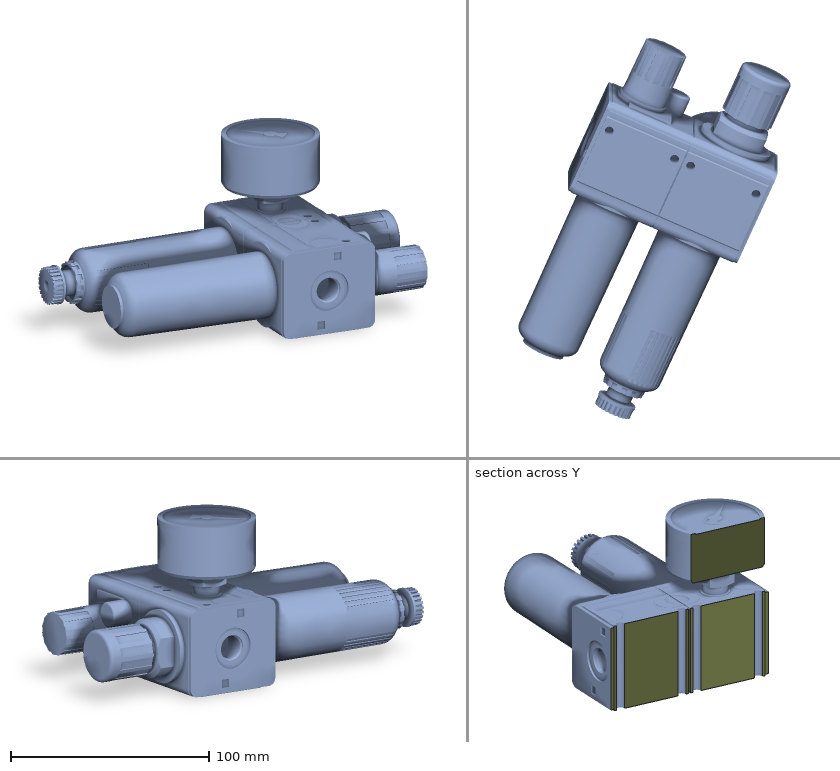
import cadquery as cq
import math

UNIT_PITCH = 45.0
JOINT_THICKNESS = 0.8
END_PLATE_THICKNESS = 2.0
BLOCK_WIDTH = UNIT_PITCH - JOINT_THICKNESS
REGULATOR_X = -UNIT_PITCH / 2
LUBRICATOR_X = UNIT_PITCH / 2
END_PLATE_X = UNIT_PITCH - JOINT_THICKNESS / 2

FACE_Y = 26.0
CORNER_RADIUS = 3.8
BAND_HALF_DEPTH = 18.0
BAND_Z = 23.2
SHOULDER_Z = 22.7
STEP_SLOPE = 0.5
REAR_STEP_Y = FACE_Y - CORNER_RADIUS
REAR_STEP_DROP = 0.2
COLLAR_RADIUS = 21.9

BOLT_DIAMETER = 4.5
BOLT_OFFSET_X = 18.0
BOLT_Y = 12.0
PAD_RADIUS = 7.5
PAD_HEIGHT = 0.2
JOINT_SPOT_DIAMETER = 12.5
ENGRAVING = 0.2
LABEL_WIDTH = 43.0
LABEL_FRONT = -17.3
LABEL_REAR = -8.6

PORT_DIAMETER = 13.2
PORT_CORE_DIAMETER = 12.0
PORT_DEPTH = 11.5
PLATE_HALF_DEPTH = 25.5
PLATE_HALF_HEIGHT = 22.5
PORT_RECESS_DIAMETER = 21.3
PLATE_RECESS_DEPTH = 1.2
KEY_SIZE = 4.5
KEY_Y = 4.6
KEY_Z = 17.7

BOWL_TOP_RADIUS = 17.0
BOWL_LOW_RADIUS = 16.5
BOWL_SHOULDER_Y = -102.5
BOWL_FILLET = 5.8
BOWL_RIM_RADIUS = 13.0
BOWL_BOTTOM_Y = -108.9
FOOT_RADIUS = 22.0 / 2
LUBRICATOR_FOOT_Y = -110.4

GRIP_GROUPS = (-150, -30, 90)
GRIP_GROOVES = 7
GRIP_PITCH = 10
GRIP_WIDTH = 2.0
GRIP_FLOOR = 16.1
GRIP_TOP_Y = -75.0

DRAIN_COLLAR_Y = -112.9
WINDOW_COUNT = 12
WINDOW_WIDTH = 2.9
WINDOW_HEIGHT = 3.3
WINDOW_FLOOR = 10.0
DRAIN_COLLAR_STEP_Y = -111.0
DRAIN_COLLAR_LOW_RADIUS = 10.8
DRAIN_COLLAR_BORE_RADIUS = 9.0
DRAIN_COLLAR_BORE_DEPTH = 2.0
DRAIN_NECK_RADIUS = 13.2 / 2
DRAIN_NECK_Y = -118.3
DRAIN_NECK_CHAMFER = 0.4
DRAIN_WAIST_RADIUS = 9.8 / 2
DRAIN_KNOB_TOP_Y = -119.0
DRAIN_LIP_RADIUS = 10.0
DRAIN_LIP_Y = -120.2
DRAIN_KNOB_RADIUS = 9.6
DRAIN_KNOB_END_Y = -125.2
KNURL_COUNT = 24
KNURL_WIDTH = 1.2
KNURL_FLOOR = 8.5
DRAIN_BORE_RADIUS = 4.0 / 2
DRAIN_MOUTH_RADIUS = 5.5 / 2
DRAIN_BORE_DEPTH = 5.8

FLANGE_RADIUS = 18.8
FLANGE_Y = 28.6
BONNET_RADIUS = 15.2
BONNET_FLAT_WIDTH = 26.1
BONNET_CHAMFER = 2.0
BONNET_Y = 38.4
BONNET_NECK_RADIUS = 21.3 / 2
KNOB_RADIUS = 13.5
KNOB_START_Y = 41.0
KNOB_END_Y = 66.8
KNOB_FILLET = 2.0
KNOB_FLUTES = 12
FLUTE_WIDTH = 4.8
FLUTE_FLOOR = 12.7
FLUTE_END_Y = 60.7

DOSING_X = 29.4
DOSING_BASE_RADIUS = 13.0
DOSING_BASE_Y = 27.5
DOSING_RING_RADIUS = 12.5
DOSING_RING_Y = 29.4
DOSING_LOW_RADIUS = 11.5
DOSING_END_RADIUS = 11.1
DOSING_END_Y = 57.8
DOSING_FLUTES = 15
DOSING_FLUTE_WIDTH = 2.7
DOSING_FLUTE_FLOOR = 10.8
DOSING_FLUTE_Y = 40.9
DOSING_FLUTE_START = -5.5
PLUG_X = 13.0
PLUG_Z = 10.2
PLUG_RADIUS = 6.5
PLUG_Y = 36.9
PLUG_FILLET = 1.2
COVER_END_X = 36.0
COVER_HALF_HEIGHT = 17.3

GAUGE_RADIUS = 25.0
GAUGE_TOP_Z = 63.5
BEZEL_BOTTOM_Z = 59.0
CASE_RADIUS = GAUGE_RADIUS - 0.04
CASE_BOTTOM_Z = 36.5
CASE_CHAMFER_WIDTH = 1.2
CASE_CHAMFER_HEIGHT = 1.7
BEZEL_BORE_RADIUS = 22.5
DIAL_Z = GAUGE_TOP_Z - 0.5
SHANK_WIDTH = 14.4
SHANK_BOTTOM_Z = 28.2
SHANK_CORNER_RISE = 1.0
SPIGOT_RADIUS = 13.2 / 2
SPIGOT_LOW_RADIUS = 12.9 / 2
SPIGOT_STEP_Z = 26.0
SEAT_RADIUS = 15.2 / 2
SEAT_HEIGHT = 0.5

NEEDLE_HEIGHT = 0.4
NEEDLE_ANGLE = -135
HUB_RADIUS = 3.6
NEEDLE_LENGTH = 20.4
BLADE_END = 15.4
BLADE_ROOT_HALF = 1.7
BLADE_END_HALF = 0.4
TAIL_LENGTH = 8.0
TAIL_END_HALF = 3.6
TAIL_ROOT = 3.0

GROOVE_CUTTER_HEIGHT = 2.0


def turned(points):
    """Solid of revolution about the Y axis from (radius, y) points."""
    return cq.Workplane("XY").polyline(points).close().revolve(360, (0, 0), (0, 1))


def turned_upright(points):
    """Solid of revolution about the Z axis from (radius, z) points."""
    return turned(points).rotate((0, 0, 0), (1, 0, 0), 90)


def rod(radius, y_start, y_end):
    """Cylinder along the Y axis."""
    return turned([(0, y_start), (radius, y_start), (radius, y_end), (0, y_end)])


def box_between(x_range, y_range, z_range):
    size = [b - a for a, b in (x_range, y_range, z_range)]
    return cq.Workplane("XY").box(*size, centered=False).translate((x_range[0], y_range[0], z_range[0]))


def cut_grooves(body, angles, width, floor, y_range):
    """Cut lengthwise grooves at the given angles about Y, measured from +Z towards +X."""
    cutter = box_between((-width / 2, width / 2), y_range, (floor, floor + GROOVE_CUTTER_HEIGHT))
    for angle in angles:
        body = body.cut(cutter.rotate((0, 0, 0), (0, 1, 0), angle))
    return body


def even_angles(count, start=0.0):
    return [start + 360 / count * i for i in range(count)]


def block():
    """Block of one unit: stepped, round-cornered section with its top details, centred on X = 0."""
    corner_y = FACE_Y - CORNER_RADIUS
    side_z = SHOULDER_Z - CORNER_RADIUS
    arc_offset = CORNER_RADIUS * (1 - math.sqrt(0.5))
    band_foot = BAND_HALF_DEPTH + STEP_SLOPE
    rear_z = SHOULDER_Z - REAR_STEP_DROP
    upper_half = (
        cq.Workplane("YZ")
        .moveTo(-FACE_Y, 0)
        .lineTo(-FACE_Y, side_z)
        .threePointArc((-FACE_Y + arc_offset, SHOULDER_Z - arc_offset), (-corner_y, SHOULDER_Z))
        .lineTo(-band_foot, SHOULDER_Z)
        .lineTo(-BAND_HALF_DEPTH, BAND_Z)
        .lineTo(BAND_HALF_DEPTH, BAND_Z)
        .lineTo(band_foot, SHOULDER_Z)
        .lineTo(REAR_STEP_Y - STEP_SLOPE, SHOULDER_Z)
        .lineTo(REAR_STEP_Y, rear_z)
        .threePointArc((FACE_Y - arc_offset, rear_z - arc_offset), (FACE_Y, rear_z - CORNER_RADIUS))
        .lineTo(FACE_Y, 0)
        .close()
        .extrude(BLOCK_WIDTH / 2, both=True)
    )
    body = upper_half.union(upper_half.mirror("XY"))
    body = body.union(rod(COLLAR_RADIUS, -FACE_Y, -corner_y))

    edge_x = BLOCK_WIDTH / 2
    for side in (-1, 1):
        inner_x = side * BOLT_OFFSET_X
        pad = cq.Workplane("XY").center(inner_x, 0).circle(PAD_RADIUS).extrude(PAD_HEIGHT)
        strip = box_between(sorted((inner_x, side * edge_x)), (-PAD_RADIUS, PAD_RADIUS), (0, PAD_HEIGHT))
        outside = box_between(sorted((side * edge_x, side * 2 * edge_x)), (-FACE_Y, FACE_Y), (0, BAND_Z))
        body = body.union(pad.union(strip).cut(outside).translate((0, 0, BAND_Z)))

    label = box_between(
        (-LABEL_WIDTH / 2, LABEL_WIDTH / 2), (LABEL_FRONT, LABEL_REAR), (BAND_Z - ENGRAVING, BAND_Z)
    )
    bolt_holes = (
        cq.Workplane("XY")
        .pushPoints([(-BOLT_OFFSET_X, BOLT_Y), (BOLT_OFFSET_X, BOLT_Y)])
        .circle(BOLT_DIAMETER / 2)
        .extrude(2 * BAND_Z, both=True)
    )
    return body.cut(label).cut(bolt_holes)


def cut_joint_spot(body):
    """Shallow round mark on the top, centred on the joint and shared by both blocks."""
    spot = cq.Workplane("XY").circle(JOINT_SPOT_DIAMETER / 2).extrude(PAD_HEIGHT + ENGRAVING)
    return body.cut(spot.translate((0, 0, BAND_Z + PAD_HEIGHT - ENGRAVING)))


def cut_port(body, side):
    """Port with a tapered mouth in the outer side of a block; side is -1 or +1."""
    mouth = (PORT_DIAMETER - PORT_CORE_DIAMETER) / 2
    cutter = turned(
        [
            (0, 0),
            (PORT_DIAMETER / 2, 0),
            (PORT_CORE_DIAMETER / 2, mouth),
            (PORT_CORE_DIAMETER / 2, PORT_DEPTH),
            (0, PORT_DEPTH),
        ]
    ).rotate((0, 0, 0), (0, 0, 1), 90 * side)
    return body.cut(cutter.translate((side * END_PLATE_X, 0, 0)))


def bowl(foot_y):
    """Tapered bowl with a rounded end and a round foot."""
    centre_r = BOWL_LOW_RADIUS - BOWL_FILLET
    end_angle = math.acos((BOWL_RIM_RADIUS - centre_r) / BOWL_FILLET)

    def on_fillet(angle):
        return (centre_r + BOWL_FILLET * math.cos(angle), BOWL_SHOULDER_Y - BOWL_FILLET * math.sin(angle))

    return (
        cq.Workplane("XY")
        .moveTo(0, -FACE_Y)
        .lineTo(BOWL_TOP_RADIUS, -FACE_Y)
        .lineTo(BOWL_LOW_RADIUS, BOWL_SHOULDER_Y)
        .threePointArc(on_fillet(end_angle / 2), on_fillet(end_angle))
        .lineTo(FOOT_RADIUS, BOWL_BOTTOM_Y)
        .lineTo(FOOT_RADIUS, foot_y)
        .lineTo(0, foot_y)
        .close()
        .revolve(360, (0, 0), (0, 1))
    )


def regulator_bowl():
    """Bowl with three groups of grip grooves and a windowed, bored drain collar."""
    collar_end = rod(DRAIN_COLLAR_LOW_RADIUS, DRAIN_COLLAR_Y, DRAIN_COLLAR_STEP_Y)
    collar_bore = rod(DRAIN_COLLAR_BORE_RADIUS, DRAIN_COLLAR_Y, DRAIN_COLLAR_Y + DRAIN_COLLAR_BORE_DEPTH)
    body = bowl(DRAIN_COLLAR_STEP_Y).union(collar_end).cut(collar_bore)
    for group in GRIP_GROUPS:
        angles = [group + GRIP_PITCH * (i - (GRIP_GROOVES - 1) / 2) for i in range(GRIP_GROOVES)]
        body = cut_grooves(body, angles, GRIP_WIDTH, GRIP_FLOOR, (BOWL_BOTTOM_Y, GRIP_TOP_Y))
    window_range = (DRAIN_COLLAR_Y, DRAIN_COLLAR_Y + WINDOW_HEIGHT)
    return cut_grooves(body, even_angles(WINDOW_COUNT), WINDOW_WIDTH, WINDOW_FLOOR, window_range)


def drain():
    """Drain neck rising from the collar bore, with a knurled knob and a countersunk bore in its end."""
    neck_top_y = DRAIN_COLLAR_Y + DRAIN_COLLAR_BORE_DEPTH
    body = turned(
        [
            (0, neck_top_y),
            (DRAIN_NECK_RADIUS, neck_top_y),
            (DRAIN_NECK_RADIUS, DRAIN_NECK_Y + DRAIN_NECK_CHAMFER),
            (DRAIN_NECK_RADIUS - DRAIN_NECK_CHAMFER, DRAIN_NECK_Y),
            (DRAIN_WAIST_RADIUS, DRAIN_NECK_Y),
            (DRAIN_WAIST_RADIUS, DRAIN_KNOB_TOP_Y),
            (DRAIN_LIP_RADIUS, DRAIN_KNOB_TOP_Y),
            (DRAIN_LIP_RADIUS, DRAIN_LIP_Y),
            (DRAIN_KNOB_RADIUS, DRAIN_LIP_Y),
            (DRAIN_KNOB_RADIUS, DRAIN_KNOB_END_Y),
            (0, DRAIN_KNOB_END_Y),
        ]
    )
    knurl_range = (DRAIN_KNOB_END_Y, DRAIN_LIP_Y)
    body = cut_grooves(body, even_angles(KNURL_COUNT), KNURL_WIDTH, KNURL_FLOOR, knurl_range)
    countersink = DRAIN_MOUTH_RADIUS - DRAIN_BORE_RADIUS
    bore = turned(
        [
            (0, DRAIN_KNOB_END_Y),
            (DRAIN_MOUTH_RADIUS, DRAIN_KNOB_END_Y),
            (DRAIN_BORE_RADIUS, DRAIN_KNOB_END_Y + countersink),
            (DRAIN_BORE_RADIUS, DRAIN_KNOB_END_Y + DRAIN_BORE_DEPTH),
            (0, DRAIN_KNOB_END_Y + DRAIN_BORE_DEPTH),
        ]
    )
    return body.cut(bore)


def bonnet():
    """Flange, bonnet with two wrench flats and neck behind the regulator block."""
    barrel = turned(
        [
            (0, FLANGE_Y),
            (BONNET_RADIUS, FLANGE_Y),
            (BONNET_RADIUS, BONNET_Y - BONNET_CHAMFER),
            (BONNET_FLAT_WIDTH / 2, BONNET_Y),
            (0, BONNET_Y),
        ]
    )
    between_flats = box_between(
        (-BONNET_FLAT_WIDTH / 2, BONNET_FLAT_WIDTH / 2),
        (FLANGE_Y, BONNET_Y),
        (-BONNET_RADIUS, BONNET_RADIUS),
    )
    flange = rod(FLANGE_RADIUS, FACE_Y, FLANGE_Y)
    neck = rod(BONNET_NECK_RADIUS, BONNET_Y, KNOB_START_Y)
    return flange.union(barrel.intersect(between_flats)).union(neck)


def adjusting_knob():
    body = rod(KNOB_RADIUS, KNOB_START_Y, KNOB_END_Y).faces(">Y").edges().fillet(KNOB_FILLET)
    angles = even_angles(KNOB_FLUTES, 180 / KNOB_FLUTES)
    return cut_grooves(body, angles, FLUTE_WIDTH, FLUTE_FLOOR, (KNOB_START_Y, FLUTE_END_Y))


def dosing_knob():
    body = turned(
        [
            (0, FACE_Y),
            (DOSING_BASE_RADIUS, FACE_Y),
            (DOSING_BASE_RADIUS, DOSING_BASE_Y),
            (DOSING_RING_RADIUS, DOSING_BASE_Y),
            (DOSING_RING_RADIUS, DOSING_RING_Y),
            (DOSING_LOW_RADIUS, DOSING_RING_Y),
            (DOSING_END_RADIUS, DOSING_END_Y),
            (0, DOSING_END_Y),
        ]
    )
    angles = even_angles(DOSING_FLUTES, DOSING_FLUTE_START)
    groove_range = (DOSING_FLUTE_Y, DOSING_END_Y)
    return cut_grooves(body, angles, DOSING_FLUTE_WIDTH, DOSING_FLUTE_FLOOR, groove_range)


def make_regulator():
    on_axis = block().union(regulator_bowl()).union(drain()).union(bonnet()).union(adjusting_knob())
    return cut_port(cut_joint_spot(on_axis.translate((REGULATOR_X, 0, 0))), -1)


def make_lubricator():
    on_axis = block().union(bowl(LUBRICATOR_FOOT_Y)).translate((LUBRICATOR_X, 0, 0))
    cover = box_between(
        (PLUG_X, COVER_END_X), (FACE_Y, DOSING_BASE_Y), (-COVER_HALF_HEIGHT, COVER_HALF_HEIGHT)
    )
    plug = rod(PLUG_RADIUS, FACE_Y, PLUG_Y).faces(">Y").edges().fillet(PLUG_FILLET)
    body = (
        on_axis.union(cover)
        .union(plug.translate((PLUG_X, 0, PLUG_Z)))
        .union(dosing_knob().translate((DOSING_X, 0, 0)))
    )
    return cut_port(cut_joint_spot(body), 1)


def plate(thickness):
    """Flat round-cornered plate against the side of a block, starting at X = 0."""
    return (
        cq.Workplane("YZ")
        .rect(2 * PLATE_HALF_DEPTH, 2 * PLATE_HALF_HEIGHT)
        .extrude(thickness)
        .edges("|X")
        .fillet(CORNER_RADIUS)
    )


def make_joint_plate():
    return plate(JOINT_THICKNESS).translate((-JOINT_THICKNESS / 2, 0, 0))


def make_end_plate(side):
    """Outer plate with port opening and two key recesses; side -1 is built, +1 is turned about Z."""
    port = cq.Workplane("YZ").circle(PORT_DIAMETER / 2).extrude(END_PLATE_THICKNESS)
    recesses = (
        cq.Workplane("YZ")
        .circle(PORT_RECESS_DIAMETER / 2)
        .pushPoints([(-KEY_Y, KEY_Z), (KEY_Y, -KEY_Z)])
        .rect(KEY_SIZE, KEY_SIZE)
        .extrude(PLATE_RECESS_DEPTH)
    )
    body = plate(END_PLATE_THICKNESS).cut(port).cut(recesses)
    body = body.translate((-END_PLATE_X - END_PLATE_THICKNESS, 0, 0))
    if side > 0:
        body = body.rotate((0, 0, 0), (0, 0, 1), 180)
    return body


def needle():
    """Needle on the Z = 0 plane with its hub at the origin."""
    hub = cq.Workplane("XY").circle(HUB_RADIUS).extrude(NEEDLE_HEIGHT)
    pointer = (
        cq.Workplane("XY")
        .polyline(
            [
                (0, BLADE_ROOT_HALF),
                (BLADE_END, BLADE_END_HALF),
                (NEEDLE_LENGTH, 0),
                (BLADE_END, -BLADE_END_HALF),
                (0, -BLADE_ROOT_HALF),
                (-TAIL_ROOT, -BLADE_ROOT_HALF),
                (-TAIL_LENGTH, -TAIL_END_HALF),
                (-TAIL_LENGTH, TAIL_END_HALF),
                (-TAIL_ROOT, BLADE_ROOT_HALF),
            ]
        )
        .close()
        .extrude(NEEDLE_HEIGHT)
    )
    return hub.union(pointer).rotate((0, 0, 0), (0, 0, 1), NEEDLE_ANGLE)


def gauge_case():
    """Case, bezel and sunk dial, turned about Z."""
    return turned_upright(
        [
            (0, CASE_BOTTOM_Z),
            (CASE_RADIUS - CASE_CHAMFER_WIDTH, CASE_BOTTOM_Z),
            (CASE_RADIUS, CASE_BOTTOM_Z + CASE_CHAMFER_HEIGHT),
            (CASE_RADIUS, BEZEL_BOTTOM_Z),
            (GAUGE_RADIUS, BEZEL_BOTTOM_Z),
            (GAUGE_RADIUS, GAUGE_TOP_Z),
            (BEZEL_BORE_RADIUS, GAUGE_TOP_Z),
            (BEZEL_BORE_RADIUS, DIAL_Z),
            (0, DIAL_Z),
        ]
    )


def gauge_shank():
    """Square shank with its lower corners turned down to the inscribed circle."""
    square = (
        cq.Workplane("XY")
        .workplane(offset=SHANK_BOTTOM_Z)
        .rect(SHANK_WIDTH, SHANK_WIDTH)
        .extrude(CASE_BOTTOM_Z - SHANK_BOTTOM_Z)
    )
    corner_radius = SHANK_WIDTH / math.sqrt(2)
    turned_envelope = turned_upright(
        [
            (0, SHANK_BOTTOM_Z),
            (SHANK_WIDTH / 2, SHANK_BOTTOM_Z),
            (corner_radius, SHANK_BOTTOM_Z + SHANK_CORNER_RISE),
            (corner_radius, CASE_BOTTOM_Z),
            (0, CASE_BOTTOM_Z),
        ]
    )
    return square.intersect(turned_envelope)


def make_gauge():
    """Round gauge on a square shank and a spigot seated on the block, with its axis along Z."""
    spigot = turned_upright(
        [
            (0, BAND_Z),
            (SEAT_RADIUS, BAND_Z),
            (SEAT_RADIUS, BAND_Z + SEAT_HEIGHT),
            (SPIGOT_LOW_RADIUS, BAND_Z + SEAT_HEIGHT),
            (SPIGOT_LOW_RADIUS, SPIGOT_STEP_Z),
            (SPIGOT_RADIUS, SPIGOT_STEP_Z),
            (SPIGOT_RADIUS, SHANK_BOTTOM_Z),
            (0, SHANK_BOTTOM_Z),
        ]
    )
    body = gauge_case().union(gauge_shank()).union(spigot)
    body = body.union(needle().translate((0, 0, DIAL_Z)))
    return body.translate((REGULATOR_X, 0, 0))


regulator = make_regulator()
lubricator = make_lubricator()
joint_plate = make_joint_plate()
end_plates = [make_end_plate(side) for side in (-1, 1)]
gauge = make_gauge()

result = cq.Compound.makeCompound(
    [
        regulator.val(),
        lubricator.val(),
        joint_plate.val(),
        *[end_plate.val() for end_plate in end_plates],
        gauge.val(),
    ]
)